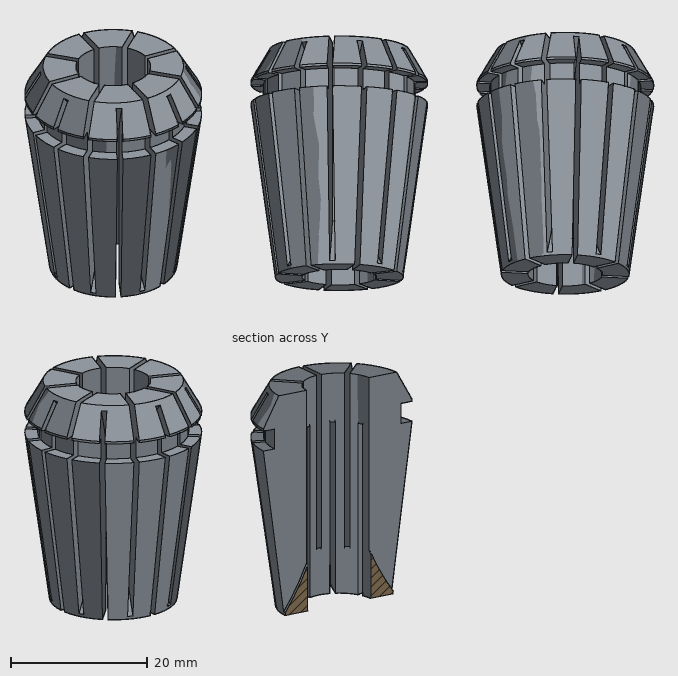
import cadquery as cq
import math

height = 34.0
outer_radius = 13.0
bore_radius = 5.47

head_cone_angle = 30.0
head_cone_base = 29.35
rim_base = 29.0

neck_radius = 11.1

body_top = 25.95
body_taper_angle = 7.9

slots_per_set = 8
slot_width = 0.8
top_slot_end = 0.48
bottom_slot_end = 33.3
floor_rise = 6.8
floor_sag = 0.2
cut_margin = 1.7

slot_pitch = 360.0 / slots_per_set
head_slope = math.tan(math.radians(head_cone_angle))
body_slope = math.tan(math.radians(body_taper_angle))
head_top_radius = outer_radius - (height - head_cone_base) * head_slope
body_base_radius = outer_radius - body_top * body_slope

top_slot_end_radius = body_base_radius + top_slot_end * body_slope
bottom_slot_end_radius = head_top_radius + (height - bottom_slot_end) * head_slope


def turned_blank():
    """Revolved collet body with the bore, without slots."""
    return (
        cq.Workplane("XZ")
        .moveTo(bore_radius, 0)
        .lineTo(body_base_radius, 0)
        .lineTo(outer_radius, body_top)
        .lineTo(neck_radius, body_top)
        .lineTo(neck_radius, rim_base)
        .lineTo(outer_radius, rim_base)
        .lineTo(outer_radius, head_cone_base)
        .lineTo(head_top_radius, height)
        .lineTo(bore_radius, height)
        .close()
        .revolve(360, (0, 0, 0), (0, 1, 0))
    )


def slot_cutters(end_radius, end_z, open_z, first_angle):
    """Radial slots open past open_z, each with a hollow arc floor that ends at (end_radius, end_z)."""
    rise = math.copysign(floor_rise, open_z - end_z)
    run = end_radius - bore_radius
    chord = math.hypot(run, rise)
    middle_radius = (bore_radius + end_radius) / 2 - floor_sag * abs(rise) / chord
    middle_z = end_z + rise / 2 - math.copysign(floor_sag, rise) * run / chord
    inner_radius = bore_radius - slot_width
    clear_radius = outer_radius + cut_margin
    slot = (
        cq.Workplane("XZ")
        .moveTo(inner_radius, open_z)
        .lineTo(inner_radius, end_z + rise)
        .lineTo(bore_radius, end_z + rise)
        .threePointArc((middle_radius, middle_z), (end_radius, end_z))
        .lineTo(clear_radius, end_z)
        .lineTo(clear_radius, open_z)
        .close()
        .extrude(slot_width / 2, both=True)
    )
    angles = [first_angle + index * slot_pitch for index in range(slots_per_set)]
    return [slot.rotate((0, 0, 0), (0, 0, 1), angle) for angle in angles]


top_slots = slot_cutters(top_slot_end_radius, top_slot_end, height + cut_margin, 0)
bottom_slots = slot_cutters(bottom_slot_end_radius, bottom_slot_end, -cut_margin, slot_pitch / 2)

result = turned_blank()
for slot in top_slots + bottom_slots:
    result = result.cut(slot)